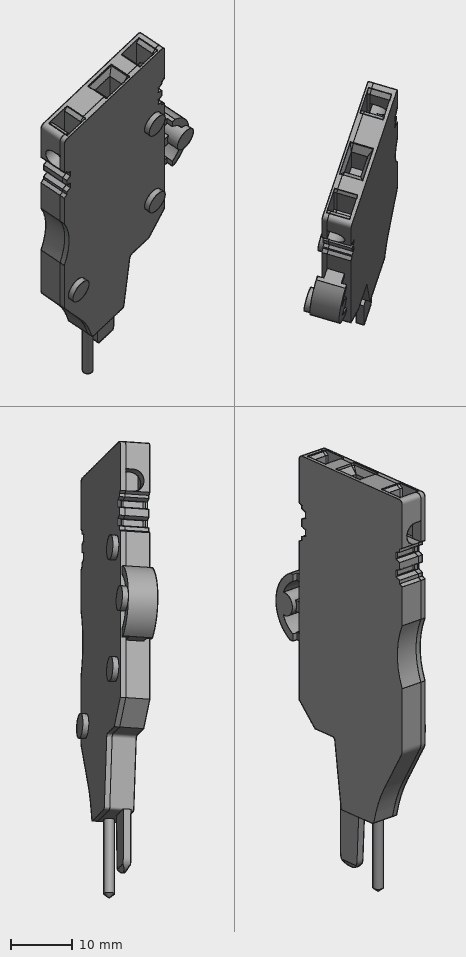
import cadquery as cq
import math


BODY_THICKNESS = 5.0
SPLIT_X = 4.08
BODY_WIDTH = 25.5
BODY_HEIGHT = 59.8
TOP_EDGE_RADIUS = 0.8

FOOT_FRONT_Y = 7.1
FOOT_BACK_Y = 15.1
FOOT_CORNER_RADIUS = 0.45
FOOT_FLARE_START = (6.5, 2.2)
FRONT_SLOPE_END_Z = 7.1
FRONT_SLOPE_CORNER_Z = 14.85
FRONT_SLOPE_ANGLE = 30.0
FRONT_CORNER_RADIUS = 2.1
BACK_SHELF_Z = 12.3
BACK_SHELF_END_Y = 16.75
BACK_SHELF_RADIUS = 0.6
BACK_CHAMFER = 3.95

GRIP_Z = BODY_HEIGHT - 27.85
GRIP_LENGTH = 11.2
GRIP_DEPTH = 1.2

RECESS_TOP = 8.5
RECESS_BOTTOM = 15.35
RECESS_DEPTH = 0.65
GROOVE_DEPTH = 1.55
GROOVE_HEIGHT = 1.85
GROOVE_CENTERS = (10.3, 13.45)
FLANK_HEIGHT = 0.35
DIMPLE_DEPTH = 0.35
DIMPLE_SIDE_MARGIN = 0.35
DIMPLE_SLOPE_WIDTH = 0.3

SOCKET_X = (0.65, 4.6)
SOCKET_DEPTH = 8.5
SIDE_SOCKETS = ((1.25, 5.9, 2.1, 5.2), (19.75, 24.2, 20.2, 23.5))
SIDE_LEAD_IN_DEPTH = 0.2
SIDE_FUNNEL_DEPTH = 0.7
CENTER_MOUTH_Y = (11.2, 17.1)
CENTER_THROAT_Y = (12.3, 16.0)
CENTER_THROAT_X = (1.3, SPLIT_X)
CENTER_LEAD_IN_DEPTH = 0.4
CENTER_FUNNEL_DEPTH = 1.6

PORT_RADIUS = 1.88
PORT_ROUND_X = 2.9
PORT_Z = BODY_HEIGHT - SOCKET_DEPTH + PORT_RADIUS

PEG_LENGTH = 1.0
PEG_RADIUS = 2.05
PEG_EDGE_DISTANCE = 3.05
TOP_PEG_Z = BODY_HEIGHT - 17.4
BACK_PEG_Z = BODY_HEIGHT - 38.0
FRONT_PEG_Z = BODY_HEIGHT - 42.6

HOOK_X = (0.2, 5.2)
HOOK_REACH = 5.95
HOOK_HALF_HEIGHT = 5.95
HOOK_OUTER_RADIUS = 6.8
HOOK_WALL = 1.45
HOOK_ARM_START = 1.76
STEM_X = (1.1, SPLIT_X)
OUTER_STEM_HEIGHT = 1.35
CENTER_STEM_HEIGHT = 2.0

PIN_RADIUS = 0.9
PIN_POINT_LENGTH = 0.75
PIN_LENGTH = 13.3
PIN_X = 2.55
PIN_Y = 8.85
BLADE_X = (0.75, 2.05)
BLADE_BACK_Y = 16.1
BLADE_FRONT_Y = 11.6
BLADE_TIP_FRONT_Y = 12.1
BLADE_LENGTH = 10.2
BLADE_TIP_RADIUS = 1.85
BLADE_BEVEL_HEIGHT = 0.92
BLADE_BEVEL_WIDTH = 0.5


def box_between(x, y, z):
    """Box spanning the given (low, high) range along each axis."""
    size = (x[1] - x[0], y[1] - y[0], z[1] - z[0])
    return cq.Workplane("XY").box(*size, centered=False).translate((x[0], y[0], z[0]))


def disc(x, y, z, radius):
    """Cylinder along X, spanning the (low, high) range x."""
    return cq.Workplane("YZ", origin=(x[0], 0, 0)).center(y, z).circle(radius).extrude(x[1] - x[0])


def mirrored_to_back(shape):
    """Copy of a shape at the front edge, mirrored to the back edge."""
    middle = (0, BODY_WIDTH / 2, 0)
    return shape.mirror("XZ", middle)


def body_blank():
    """Side outline of the closed body, extruded through its full thickness."""
    slope = math.tan(math.radians(FRONT_SLOPE_ANGLE))
    slope_end = ((FRONT_SLOPE_CORNER_Z - FRONT_SLOPE_END_Z) * slope, FRONT_SLOPE_END_Z)
    blank = (
        cq.Workplane("YZ")
        .moveTo(0, BODY_HEIGHT)
        .lineTo(0, FRONT_SLOPE_CORNER_Z)
        .lineTo(*slope_end)
        .tangentArcPoint(FOOT_FLARE_START, relative=False)
        .lineTo(FOOT_FRONT_Y, 0)
        .lineTo(FOOT_BACK_Y, 0)
        .lineTo(BACK_SHELF_END_Y, BACK_SHELF_Z)
        .lineTo(BODY_WIDTH - BACK_CHAMFER, BACK_SHELF_Z)
        .lineTo(BODY_WIDTH, BACK_SHELF_Z + BACK_CHAMFER)
        .lineTo(BODY_WIDTH, BODY_HEIGHT)
        .close()
        .extrude(BODY_THICKNESS)
    )
    rounded_corners = (
        ((0, BODY_HEIGHT), TOP_EDGE_RADIUS),
        ((BODY_WIDTH, BODY_HEIGHT), TOP_EDGE_RADIUS),
        ((0, FRONT_SLOPE_CORNER_Z), FRONT_CORNER_RADIUS),
        ((FOOT_FRONT_Y, 0), FOOT_CORNER_RADIUS),
        ((FOOT_BACK_Y, 0), FOOT_CORNER_RADIUS),
        ((BACK_SHELF_END_Y, BACK_SHELF_Z), BACK_SHELF_RADIUS),
    )
    for (y, z), radius in rounded_corners:
        corner = cq.selectors.NearestToPointSelector((BODY_THICKNESS / 2, y, z))
        blank = blank.edges("|X").edges(corner).fillet(radius)
    return blank


def thumb_rest():
    """Shallow cylindrical scoop in the front edge."""
    radius = ((GRIP_LENGTH / 2) ** 2 + GRIP_DEPTH**2) / (2 * GRIP_DEPTH)
    return disc((0, BODY_THICKNESS), GRIP_DEPTH - radius, GRIP_Z, radius)


def edge_channel(top, bottom, start_depth, depth):
    """Channel across the front edge with sloped flanks; top and bottom are measured from the body top."""
    return (
        cq.Workplane("YZ")
        .moveTo(start_depth, BODY_HEIGHT - top)
        .lineTo(depth, BODY_HEIGHT - top - FLANK_HEIGHT)
        .lineTo(depth, BODY_HEIGHT - bottom + FLANK_HEIGHT)
        .lineTo(start_depth, BODY_HEIGHT - bottom)
        .close()
        .extrude(BODY_THICKNESS)
    )


def finger_grooves():
    """Recess in the front edge with two deeper grooves, each with a slope-sided dimple in its floor."""
    mouth_half_width = BODY_THICKNESS / 2 - DIMPLE_SIDE_MARGIN
    floor_half_width = mouth_half_width - DIMPLE_SLOPE_WIDTH
    cutter = edge_channel(RECESS_TOP, RECESS_BOTTOM, 0, RECESS_DEPTH)
    for center in GROOVE_CENTERS:
        top = center - GROOVE_HEIGHT / 2
        bottom = center + GROOVE_HEIGHT / 2
        groove = edge_channel(top, bottom, RECESS_DEPTH, GROOVE_DEPTH)
        dimple = (
            cq.Workplane("XY", origin=(BODY_THICKNESS / 2, GROOVE_DEPTH, BODY_HEIGHT - center))
            .moveTo(-mouth_half_width, 0)
            .lineTo(-floor_half_width, DIMPLE_DEPTH)
            .lineTo(floor_half_width, DIMPLE_DEPTH)
            .lineTo(mouth_half_width, 0)
            .close()
            .extrude(GROOVE_HEIGHT / 2 - FLANK_HEIGHT, both=True)
        )
        cutter = cutter.union(groove).union(dimple)
    return cutter


def side_socket(mouth_from, mouth_to, throat_from, throat_to):
    """Socket near one edge, narrowing along Y below a short straight mouth."""
    lead_in_z = BODY_HEIGHT - SIDE_LEAD_IN_DEPTH
    throat_z = BODY_HEIGHT - SIDE_FUNNEL_DEPTH
    floor_z = BODY_HEIGHT - SOCKET_DEPTH
    outline = (
        (mouth_from, BODY_HEIGHT),
        (mouth_from, lead_in_z),
        (throat_from, throat_z),
        (throat_from, floor_z),
        (throat_to, floor_z),
        (throat_to, throat_z),
        (mouth_to, lead_in_z),
        (mouth_to, BODY_HEIGHT),
    )
    plane = cq.Workplane("YZ", origin=(SOCKET_X[0], 0, 0))
    return plane.polyline(outline).close().extrude(SOCKET_X[1] - SOCKET_X[0])


def center_socket():
    """Middle socket: straight mouth, four-sided funnel and straight throat."""
    lead_in_z = BODY_HEIGHT - CENTER_LEAD_IN_DEPTH
    throat_z = BODY_HEIGHT - CENTER_FUNNEL_DEPTH
    mouth = box_between(SOCKET_X, CENTER_MOUTH_Y, (lead_in_z, BODY_HEIGHT))
    throat = box_between(CENTER_THROAT_X, CENTER_THROAT_Y, (BODY_HEIGHT - SOCKET_DEPTH, throat_z))
    mouth_rim = mouth.faces("<Z").wires().val()
    throat_rim = throat.faces(">Z").wires().val()
    funnel = cq.Workplane(cq.Solid.makeLoft([mouth_rim, throat_rim], True))
    return mouth.union(funnel).union(throat)


def front_wire_port():
    """Slot through the front edge wall, rounded on the housing side and closed by the cover."""
    socket_y = SIDE_SOCKETS[0][2]
    port_z = (PORT_Z - PORT_RADIUS, PORT_Z + PORT_RADIUS)
    straight_part = box_between((PORT_ROUND_X, SPLIT_X), (0, socket_y), port_z)
    round_part = (
        cq.Workplane("XZ", origin=(PORT_ROUND_X, 0, PORT_Z)).circle(PORT_RADIUS).extrude(-socket_y)
    )
    housing_side = box_between((0, SPLIT_X), (0, socket_y), port_z)
    return straight_part.union(round_part.intersect(housing_side))


def closed_body():
    """Housing and cover as one block, with every feature that both of them share."""
    body = body_blank().cut(thumb_rest())
    for edge_cutter in (finger_grooves(), front_wire_port()):
        body = body.cut(edge_cutter).cut(mirrored_to_back(edge_cutter))
    for socket in SIDE_SOCKETS:
        body = body.cut(side_socket(*socket))
    return body.cut(center_socket())


def hook():
    """Rounded hook standing off the back edge on three stems, with a peg on its hub."""
    center_y = BODY_WIDTH + HOOK_REACH - HOOK_OUTER_RADIUS
    hub_y = BODY_WIDTH + HOOK_REACH - PEG_RADIUS
    arm_y = BODY_WIDTH + HOOK_ARM_START
    reach_y = BODY_WIDTH + HOOK_REACH
    full_height = (GRIP_Z - HOOK_HALF_HEIGHT, GRIP_Z + HOOK_HALF_HEIGHT)

    ring = disc(HOOK_X, center_y, GRIP_Z, HOOK_OUTER_RADIUS)
    ring = ring.cut(disc(HOOK_X, center_y, GRIP_Z, HOOK_OUTER_RADIUS - HOOK_WALL))
    arc = ring.intersect(box_between(HOOK_X, (arm_y, reach_y), full_height))
    hub_and_peg = disc((HOOK_X[0], HOOK_X[1] + PEG_LENGTH), hub_y, GRIP_Z, PEG_RADIUS)
    shape = arc.union(hub_and_peg)

    outer_stem_offset = HOOK_HALF_HEIGHT - OUTER_STEM_HEIGHT / 2
    stems = (
        (-outer_stem_offset, OUTER_STEM_HEIGHT, arm_y),
        (0, CENTER_STEM_HEIGHT, hub_y),
        (outer_stem_offset, OUTER_STEM_HEIGHT, arm_y),
    )
    for offset, height, end_y in stems:
        stem_z = (GRIP_Z + offset - height / 2, GRIP_Z + offset + height / 2)
        shape = shape.union(box_between(STEM_X, (BODY_WIDTH, end_y), stem_z))
    return shape


def make_housing(body):
    """Main half of the body together with the hook."""
    half = box_between((0, SPLIT_X), (0, BODY_WIDTH), (0, BODY_HEIGHT))
    return body.intersect(half).union(hook())


def make_cover(body):
    """Thin half of the body together with its locating pegs."""
    half = box_between((SPLIT_X, BODY_THICKNESS), (0, BODY_WIDTH), (0, BODY_HEIGHT))
    cover = body.intersect(half)
    peg_x = (BODY_THICKNESS, BODY_THICKNESS + PEG_LENGTH)
    back_y = BODY_WIDTH - PEG_EDGE_DISTANCE
    pegs = (
        (back_y, TOP_PEG_Z),
        (back_y, BACK_PEG_Z),
        (PEG_EDGE_DISTANCE, FRONT_PEG_Z),
    )
    for y, z in pegs:
        cover = cover.union(disc(peg_x, y, z, PEG_RADIUS))
    return cover


def make_pin():
    """Round contact pin with a conical point."""
    shoulder_z = PIN_POINT_LENGTH - PIN_LENGTH
    pin_profile = (
        cq.Workplane("XZ", origin=(PIN_X, PIN_Y, 0))
        .moveTo(0, 0)
        .lineTo(PIN_RADIUS, 0)
        .lineTo(PIN_RADIUS, shoulder_z)
        .lineTo(0, -PIN_LENGTH)
        .close()
    )
    return pin_profile.revolve(360, (0, 0), (0, 1))


def make_blade():
    """Flat contact blade: rounded at the tip and bevelled on both faces."""
    thickness = BLADE_X[1] - BLADE_X[0]
    blade = (
        cq.Workplane("YZ", origin=(BLADE_X[0], 0, 0))
        .moveTo(BLADE_FRONT_Y, 0)
        .lineTo(BLADE_TIP_FRONT_Y, -BLADE_LENGTH)
        .lineTo(BLADE_BACK_Y, -BLADE_LENGTH)
        .lineTo(BLADE_BACK_Y, 0)
        .close()
        .extrude(thickness)
        .faces("<Z")
        .edges("|X")
        .fillet(BLADE_TIP_RADIUS)
    )
    bevel_z = BLADE_BEVEL_HEIGHT - BLADE_LENGTH
    end_profile = (
        (BLADE_X[0], 0),
        (BLADE_X[0], bevel_z),
        (BLADE_X[0] + BLADE_BEVEL_WIDTH, -BLADE_LENGTH),
        (BLADE_X[1] - BLADE_BEVEL_WIDTH, -BLADE_LENGTH),
        (BLADE_X[1], bevel_z),
        (BLADE_X[1], 0),
    )
    bevelled_bar = cq.Workplane("XZ").polyline(end_profile).close().extrude(-BLADE_BACK_Y)
    return blade.intersect(bevelled_bar)


complete_body = closed_body()
housing = make_housing(complete_body)
cover = make_cover(complete_body)
pin = make_pin()
blade = make_blade()

bodies = (housing, cover, pin, blade)
result = cq.Compound.makeCompound([body.solids().val() for body in bodies])